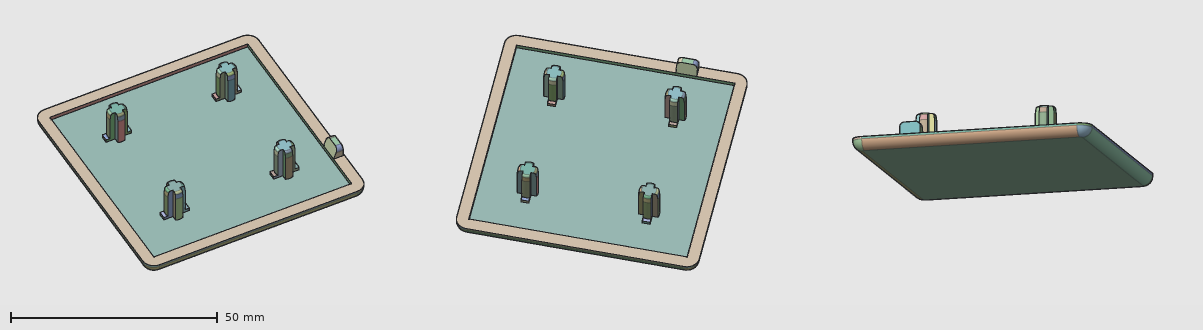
import cadquery as cq

plate_side = 60.0
plate_thickness = 3.0
corner_radius = 3.0
bottom_round = 2.4
rim_width = 3.0
recess_depth = 1.0
floor_z = plate_thickness - recess_depth

post_offset = 15.0
post_radius = 2.6
post_top_z = 11.0
arm_width = 2.0
tip_taper_height = 1.8
tip_taper_inset = 0.25
tip_round = 0.6

foot_length = 6.95
foot_height = 0.8

tab_width = 5.15
tab_height = 3.0
tab_edge_inset = 0.3
tab_base_depth = rim_width - tab_edge_inset
tab_top_depth = 1.55
tab_corner_round = 1.2


def make_plate():
    plate = cq.Workplane("XY").rect(plate_side, plate_side).extrude(plate_thickness)
    plate = plate.edges("|Z").fillet(corner_radius)
    plate = plate.faces("<Z").edges().fillet(bottom_round)
    recess_side = plate_side - 2 * rim_width
    recess = cq.Workplane("XY", origin=(0, 0, floor_z)).rect(recess_side, recess_side).extrude(recess_depth)
    return plate.cut(recess)


def make_post():
    """Cross with round arm ends and a tapered, rounded tip, standing at the origin."""
    post_height = post_top_z - floor_z
    tip_radius = post_radius - tip_taper_inset
    envelope = (
        cq.Workplane("XZ")
        .lineTo(post_radius, 0)
        .lineTo(post_radius, post_height - tip_taper_height)
        .lineTo(tip_radius, post_height)
        .lineTo(0, post_height)
        .close()
        .revolve(360, (0, 0, 0), (0, 1, 0))
        .faces(">Z")
        .edges()
        .fillet(tip_round)
    )
    arm_x = cq.Workplane("XY").rect(2 * post_radius, arm_width).extrude(post_height)
    arm_y = cq.Workplane("XY").rect(arm_width, 2 * post_radius).extrude(post_height)
    foot = cq.Workplane("XY").rect(arm_width, foot_length).extrude(foot_height)
    return arm_x.union(arm_y).intersect(envelope).union(foot)


def make_tab():
    """Wedge with a vertical outer face and a sloped inner face."""
    outer_y = plate_side / 2 - tab_edge_inset
    top_z = plate_thickness + tab_height
    tab = (
        cq.Workplane("YZ", origin=(post_offset, 0, 0))
        .moveTo(outer_y, plate_thickness)
        .lineTo(outer_y, top_z)
        .lineTo(outer_y - tab_top_depth, top_z)
        .lineTo(outer_y - tab_base_depth, plate_thickness)
        .close()
        .extrude(tab_width / 2, both=True)
    )
    return tab.faces(">Z").edges("|Y").fillet(tab_corner_round)


result = make_plate().union(make_tab())
post = make_post()
for x in (-post_offset, post_offset):
    for y in (-post_offset, post_offset):
        result = result.union(post.translate((x, y, floor_z)))